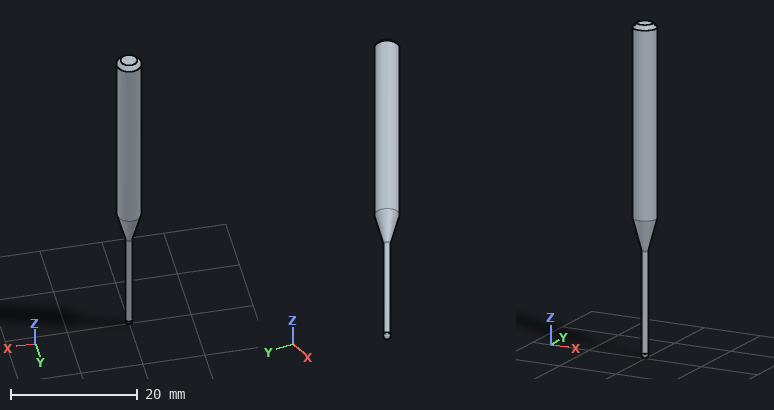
import cadquery as cq
import math

total_length = 55.0
shank_diameter = 4.0
end_chamfer = 0.7
shank_bottom = 23.1
taper_bottom = 17.8
head_diameter = 1.2
head_top = 0.9
neck_relief = 0.03
neck_flare_length = 0.15

shank_radius = shank_diameter / 2
head_radius = head_diameter / 2
neck_radius = head_radius - neck_relief


def revolve_profile(points):
    """Turn an outline of (radius, height) points about Z."""
    outline = cq.Workplane("XZ").polyline(points).close()
    return outline.revolve(360, (0, 0, 0), (0, 1, 0))


def make_holder():
    """Chamfered shank, long taper and slim neck, down to the cutting head."""
    return revolve_profile([
        (0, head_top),
        (head_radius, head_top),
        (neck_radius, head_top + neck_flare_length),
        (neck_radius, taper_bottom - neck_flare_length),
        (head_radius, taper_bottom),
        (shank_radius, shank_bottom),
        (shank_radius, total_length - end_chamfer),
        (shank_radius - end_chamfer, total_length),
        (0, total_length),
    ])


def make_cutting_head():
    """Short cylinder that ends in a half ball."""
    ball_offset = head_radius * math.sin(math.radians(45))
    outline = (
        cq.Workplane("XZ")
        .threePointArc((ball_offset, head_radius - ball_offset), (head_radius, head_radius))
        .lineTo(head_radius, head_top)
        .lineTo(0, head_top)
        .close()
    )
    return outline.revolve(360, (0, 0, 0), (0, 1, 0))


holder = make_holder()
cutting_head = make_cutting_head()

result = cq.Compound.makeCompound([holder.val(), cutting_head.val()])